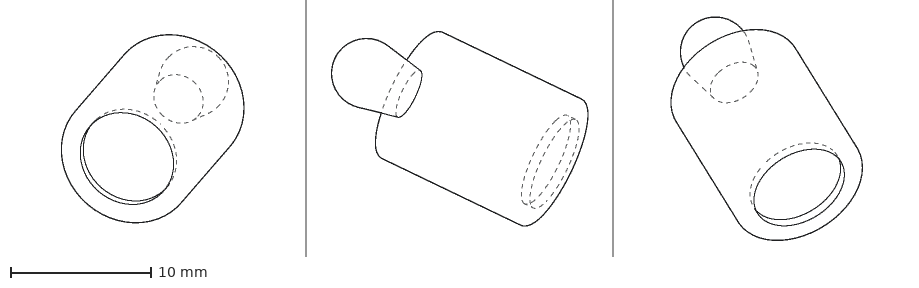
import cadquery as cq
import math

total_length = 18.0
body_diameter = 10.0
body_length = 12.0
edge_radius = 0.3
ball_diameter = 5.0
neck_half_angle = 11.3
recess_diameter = 7.0
recess_depth = 0.7

body_radius = body_diameter / 2
ball_radius = ball_diameter / 2
front_y = -total_length / 2
shoulder_y = front_y + body_length
tip_y = total_length / 2
ball_center_y = tip_y - ball_radius


def make_body():
    """Cylinder with both rims rounded; its front face points to -Y."""
    body = cq.Workplane("XZ", origin=(0, front_y, 0)).circle(body_radius).extrude(-body_length)
    return body.edges().fillet(edge_radius)


def make_ball_pin():
    """Neck that widens away from the shoulder and runs tangentially into a ball end."""
    angle = math.radians(neck_half_angle)
    tangent_radius = ball_radius * math.cos(angle)
    tangent_y = ball_center_y - ball_radius * math.sin(angle)
    neck_radius = tangent_radius - (tangent_y - shoulder_y) * math.tan(angle)
    arc_middle = (ball_radius * math.cos(math.pi / 4), ball_center_y + ball_radius * math.sin(math.pi / 4))
    return (
        cq.Workplane("XY")
        .moveTo(0, shoulder_y)
        .lineTo(neck_radius, shoulder_y)
        .lineTo(tangent_radius, tangent_y)
        .threePointArc(arc_middle, (0, tip_y))
        .close()
        .revolve(360, (0, 0, 0), (0, 1, 0))
    )


def make_recess():
    """Round blind pocket in the front face."""
    return cq.Workplane("XZ", origin=(0, front_y, 0)).circle(recess_diameter / 2).extrude(-recess_depth)


result = make_body().union(make_ball_pin()).cut(make_recess())